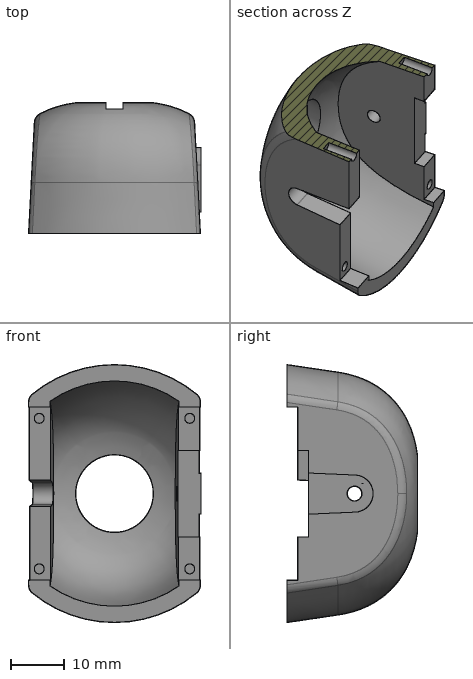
import cadquery as cq
import math


RIM_RADIUS = 24.0
WALL_DRAFT = 8.4
WALL_DEPTH = 9.5
SHOULDER = (15.0, 21.65)
APEX_Y = 24.76

CAVITY_RIM_RADIUS = 20.95
CAVITY_SHOULDER = (12.2, 19.6)
CAVITY_APEX_Y = 22.1

OUTER_HALF_WIDTH = 16.0
OUTER_SIDE_DRAFT = 3.0
INNER_HALF_WIDTH = 12.0
INNER_SIDE_DRAFT = 2.0
SIDE_EDGE_RADIUS = 2.0

BACK_HOLE_DIAMETER = 14.4
GROOVE_WIDTH = 3.1
GROOVE_FLOOR = 23.2

STEP_HALF_HEIGHT = 16.1
SHALLOW_STEP = 2.0
DEEP_STEP = 4.0
RIGHT_NOTCH_HALF_HEIGHT = 8.05

KEY_FLARE = 2.5
SLOT_RADIUS = 2.0
SLOT_CENTER_Y = 13.4
BOSS_RADIUS = 3.45
BOSS_FACE_X = 16.1
PIVOT_Y = 12.6
PIVOT_DIAMETER = 2.7

PIN_DIAMETER = 1.85
PIN_OFFSET = 14.0
PIN_HOLE_BOTTOM = 8.0

REACH = 60.0


def box(x_range, y_range, z_range):
    """Axis-aligned box between the given limits."""
    size = [high - low for low, high in (x_range, y_range, z_range)]
    corner = (x_range[0], y_range[0], z_range[0])
    return cq.Workplane("XY").box(*size, centered=False).translate(corner)


def revolved_dome(rim_radius, wall_depth, shoulder, apex_y):
    """Solid of revolution about Y: flared wall up to wall_depth, then a curve to the apex."""
    draft = math.radians(WALL_DRAFT)
    wall_direction = (-math.sin(draft), math.cos(draft))
    profile = cq.Workplane("XY").lineTo(rim_radius, 0)
    if wall_depth > 0:
        wall_end_radius = rim_radius - wall_depth * math.tan(draft)
        profile = profile.lineTo(wall_end_radius, wall_depth)
    return (
        profile.spline(
            [shoulder, (0, apex_y)], tangents=[wall_direction, (-1, 0)], includeCurrent=True
        )
        .close()
        .revolve(360, (0, 0), (0, 1))
    )


def side_wedge(half_width, draft):
    """Space between two planes that converge towards +Y."""
    back_half_width = half_width - REACH * math.tan(math.radians(draft))
    return (
        cq.Workplane("XY")
        .polyline([
            (-half_width, 0),
            (half_width, 0),
            (back_half_width, REACH),
            (-back_half_width, REACH),
        ])
        .close()
        .extrude(REACH / 2, both=True)
    )


def tapered_key(radius, center_y, front_y, x_range):
    """Prism along X: round end towards +Y, flanks flaring out towards front_y."""
    flare = math.radians(KEY_FLARE)
    tangent_y = center_y + radius * math.sin(flare)
    tangent_z = radius * math.cos(flare)
    front_z = tangent_z + (tangent_y - front_y) * math.tan(flare)
    return (
        cq.Workplane("YZ", origin=(x_range[0], 0, 0))
        .moveTo(front_y, -front_z)
        .lineTo(tangent_y, -tangent_z)
        .threePointArc((center_y + radius, 0), (tangent_y, tangent_z))
        .lineTo(front_y, front_z)
        .close()
        .extrude(x_range[1] - x_range[0])
    )


def hollow_shell():
    """Side-trimmed dome with rounded side edges, minus the cavity."""
    outer = revolved_dome(RIM_RADIUS, WALL_DEPTH, SHOULDER, APEX_Y)
    outer = outer.intersect(side_wedge(OUTER_HALF_WIDTH, OUTER_SIDE_DRAFT))
    outer = outer.faces("<X or >X").edges("not(<Y)").fillet(SIDE_EDGE_RADIUS)
    cavity = revolved_dome(CAVITY_RIM_RADIUS, 0, CAVITY_SHOULDER, CAVITY_APEX_Y)
    cavity = cavity.intersect(side_wedge(INNER_HALF_WIDTH, INNER_SIDE_DRAFT))
    return outer.cut(cavity)


def back_opening():
    """Round hole along Y and the groove that crosses its back edge along Z."""
    hole = cq.Workplane("XZ").circle(BACK_HOLE_DIAMETER / 2).extrude(-REACH)
    groove = box(
        (-GROOVE_WIDTH / 2, GROOVE_WIDTH / 2), (GROOVE_FLOOR, REACH), (-REACH / 2, REACH / 2)
    )
    return hole.union(groove)


def front_steps():
    """Material removed from the front edges of both side walls."""
    full_height = (-STEP_HALF_HEIGHT, STEP_HALF_HEIGHT)
    both_walls = box((-REACH, REACH), (-REACH, SHALLOW_STEP), full_height)
    left_lower = box((-REACH, 0), (-REACH, DEEP_STEP), (-STEP_HALF_HEIGHT, 0))
    right_middle = box(
        (0, REACH), (-REACH, DEEP_STEP), (-RIGHT_NOTCH_HALF_HEIGHT, RIGHT_NOTCH_HALF_HEIGHT)
    )
    return both_walls.union(left_lower).union(right_middle)


def pin_holes():
    """Four blind holes along Y in the front edges of the side walls."""
    return (
        cq.Workplane("XZ")
        .rect(2 * PIN_OFFSET, 2 * PIN_OFFSET, forConstruction=True)
        .vertices()
        .circle(PIN_DIAMETER / 2)
        .extrude(-PIN_HOLE_BOTTOM)
    )


def side_slot():
    """Tapered slot through the -X wall, open at its front edge."""
    return tapered_key(SLOT_RADIUS, SLOT_CENTER_Y, 0, (-REACH, 0))


def side_boss():
    """Tapered boss on the +X wall, flush with the front edge of its notch."""
    wall_middle = (INNER_HALF_WIDTH + OUTER_HALF_WIDTH) / 2
    return tapered_key(BOSS_RADIUS, PIVOT_Y, DEEP_STEP, (wall_middle, BOSS_FACE_X))


def pivot_hole():
    """Hole through the +X wall and its boss, concentric with the boss end."""
    return cq.Workplane("YZ").center(PIVOT_Y, 0).circle(PIVOT_DIAMETER / 2).extrude(REACH)


result = (
    hollow_shell()
    .cut(front_steps())
    .union(side_boss())
    .cut(back_opening())
    .cut(side_slot())
    .cut(pivot_hole())
    .cut(pin_holes())
)